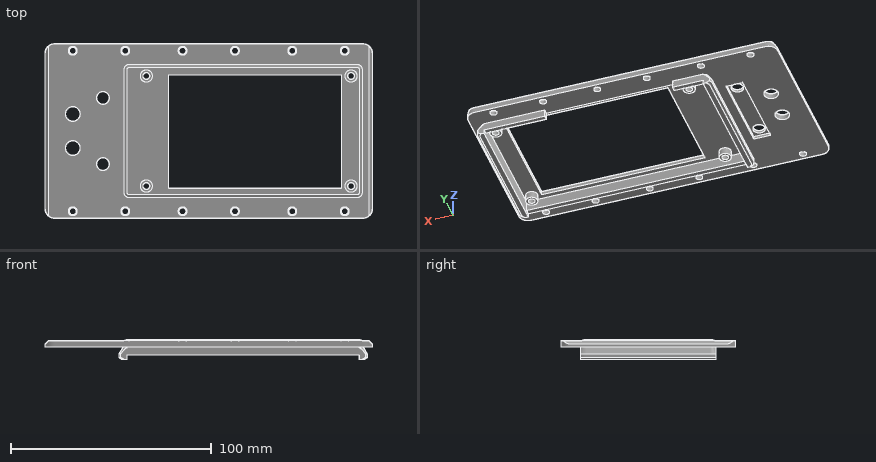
import cadquery as cq
import math

total_height = 10.0
plate_bottom = 6.2
plate_top = 9.5
rail_bottom = 2.1
pocket_floor = 7.8
boss_bottom = 4.1

plate_length = 163.3
plate_width = 87.0
plate_corner_radius = 4.9
end_bevel = 1.8

pad_center_x = 17.1
pad_length = 118.9
pad_width = 66.5
pad_corner_radius = 2.8
pad_bevel = 1.5

window_length = 86.0
window_width = 56.3
window_center_x = 23.0
window_center_y = -0.3

frame_width = 67.6
rail_thickness = 2.6
hook_inner = 57.8
hook_foot_outer = 60.6
hook_bulge = 61.9
hook_root = 60.0
hook_bulge_low = 1.0
hook_bulge_high = 2.8
hook_corner_axis = 57.5
opening_start_x = -24.5
opening_end_x = 43.0

edge_hole_diameter = 3.5
edge_hole_x = (13.0, 41.6, 67.8)
edge_hole_y = 40.0
edge_sink_diameter = 4.4
edge_sink_depth = 0.5
screw_hole_diameter = 3.3
screw_head_diameter = 6.0
screw_head_depth = 0.7
boss_diameter = 6.0
screw_center_x = 20.0
screw_spacing_x = 102.0
screw_spacing_y = 54.9
socket_diameter = 6.2
socket_x = -52.8
socket_y = 16.5
socket_skin = 1.6
recess_half_length = 21.2
recess_half_width = 4.4
terminal_diameter = 7.2
terminal_x = -67.8
terminal_y = 8.5


def block(x_start, x_end, y_start, y_end, z_start, z_end):
    size = (x_end - x_start, y_end - y_start, z_end - z_start)
    return cq.Workplane("XY").box(*size, centered=False).translate((x_start, y_start, z_start))


def cylinders(points, diameter, z_start, z_end):
    plane = cq.Workplane("XY").workplane(offset=z_start)
    return plane.pushPoints(points).circle(diameter / 2).extrude(z_end - z_start)


def mirrored_pair(x, y):
    return [(x, y), (x, -y)]


def face_plate():
    plate = (
        cq.Workplane("XY")
        .workplane(offset=plate_bottom)
        .rect(plate_length, plate_width)
        .extrude(plate_top - plate_bottom)
        .edges("|Z")
        .fillet(plate_corner_radius)
    )
    half = plate_length / 2
    bevelled_ends = (
        cq.Workplane("XZ")
        .moveTo(-half, plate_bottom)
        .lineTo(half, plate_bottom)
        .lineTo(half, plate_top - end_bevel)
        .lineTo(half - end_bevel, plate_top)
        .lineTo(end_bevel - half, plate_top)
        .lineTo(-half, plate_top - end_bevel)
        .close()
        .extrude(plate_width / 2, both=True)
    )
    return plate.intersect(bevelled_ends)


def raised_pad():
    """Low pad whose border slopes down to the plate on all sides."""
    pad_height = total_height - plate_top
    slope_from_vertical = math.degrees(math.atan2(pad_bevel, pad_height))
    outline = cq.Sketch().rect(pad_length, pad_width).vertices().fillet(pad_corner_radius)
    return (
        cq.Workplane("XY")
        .workplane(offset=plate_top)
        .center(pad_center_x, 0)
        .placeSketch(outline)
        .extrude(pad_height, taper=slope_from_vertical)
    )


def hook_profile():
    """Hook section in the XZ plane, at the +X end of a frame centred on X = 0."""
    return (
        cq.Workplane("XZ")
        .moveTo(hook_corner_axis, 0)
        .lineTo(hook_foot_outer, 0)
        .lineTo(hook_bulge, hook_bulge_low)
        .lineTo(hook_bulge, hook_bulge_high)
        .lineTo(hook_root, plate_bottom)
        .lineTo(hook_corner_axis, plate_bottom)
        .close()
    )


def frame_half():
    """The +X half of the clip frame: half of a solid block, closed by a hook with turned corners."""
    half_width = frame_width / 2
    corner_y = half_width - rail_thickness
    body = block(0, hook_inner, -half_width, half_width, rail_bottom, plate_bottom)
    hook = hook_profile().extrude(corner_y, both=True)
    axis_start = (hook_corner_axis, 0)
    axis_end = (hook_corner_axis, 1)
    corner = hook_profile().revolve(360, axis_start, axis_end)
    for side in (-1, 1):
        hook = hook.union(corner.translate((0, side * corner_y, 0)))
    hook_limits = block(hook_inner, hook_bulge, -half_width, half_width, 0, plate_bottom)
    return body.union(hook.intersect(hook_limits))


def clip_frame():
    half = frame_half()
    return half.union(half.mirror("YZ")).translate((pad_center_x, 0, 0))


def pocket():
    """Hollow inside the frame, with the gap in the +Y rail."""
    inner_y = frame_width / 2 - rail_thickness
    hollow = block(
        pad_center_x - hook_inner, pad_center_x + hook_inner, -inner_y, inner_y, 0, pocket_floor
    )
    opening = block(opening_start_x, opening_end_x, inner_y, frame_width / 2, 0, plate_bottom)
    return hollow.union(opening)


screw_points = [
    (screw_center_x + x_side * screw_spacing_x / 2, y_side * screw_spacing_y / 2)
    for x_side in (-1, 1)
    for y_side in (-1, 1)
]

edge_hole_points = [
    (x_side * x, y_side * edge_hole_y)
    for x in edge_hole_x
    for x_side in (-1, 1)
    for y_side in (-1, 1)
]


def edge_countersinks():
    depth = edge_sink_depth
    sink_plane = cq.Workplane("XY").workplane(offset=plate_top)
    cone = cq.Solid.makeCone(
        edge_hole_diameter / 2,
        edge_sink_diameter / 2,
        depth,
        pnt=cq.Vector(0, 0, -depth),
    )
    return sink_plane.pushPoints(edge_hole_points).eachpoint(lambda place: cone.moved(place))


def socket_recess():
    """Recess in the plate underside, shared by both sockets."""
    return block(
        socket_x - recess_half_width,
        socket_x + recess_half_width,
        -recess_half_length,
        recess_half_length,
        plate_bottom,
        plate_top - socket_skin,
    )


def window():
    cutter = cq.Workplane("XY").box(window_length, window_width, 2 * total_height)
    return cutter.translate((window_center_x, window_center_y, total_height))


result = (
    face_plate()
    .union(raised_pad())
    .union(clip_frame())
    .cut(pocket())
    .union(cylinders(screw_points, boss_diameter, boss_bottom, pocket_floor))
    .cut(window())
    .cut(cylinders(screw_points, screw_hole_diameter, 0, total_height))
    .cut(cylinders(screw_points, screw_head_diameter, total_height - screw_head_depth, total_height))
    .cut(cylinders(edge_hole_points, edge_hole_diameter, 0, total_height))
    .cut(edge_countersinks())
    .cut(socket_recess())
    .cut(cylinders(mirrored_pair(socket_x, socket_y), socket_diameter, 0, total_height))
    .cut(cylinders(mirrored_pair(terminal_x, terminal_y), terminal_diameter, 0, total_height))
)